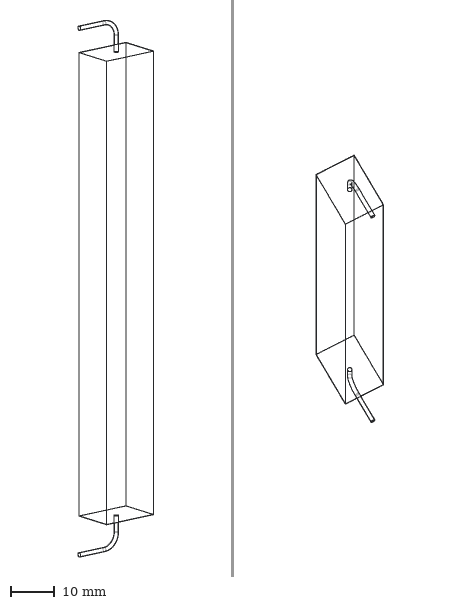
import cadquery as cq

total_height = 126.0
total_depth = 18.0

body_width = 10.0
body_depth = 14.0
body_height = 110.0

lead_diameter = 1.0
bend_radius = 3.5
lead_reach = total_depth - body_depth / 2
lead_rise = (total_height - body_height - lead_diameter) / 2


def make_top_lead():
    """Wire leaving the middle of the top face and bending toward -Y."""
    start_z = body_height / 2
    bend_start_z = start_z + lead_rise - bend_radius
    side_plane = cq.Plane(origin=(0, 0, 0), xDir=(0, -1, 0), normal=(-1, 0, 0))
    path = (
        cq.Workplane(side_plane)
        .moveTo(0, start_z)
        .lineTo(0, bend_start_z)
        .tangentArcPoint((bend_radius, bend_radius))
        .lineTo(lead_reach, start_z + lead_rise)
    )
    return cq.Workplane("XY", origin=(0, 0, start_z)).circle(lead_diameter / 2).sweep(path)


body = cq.Workplane("XY").box(body_width, body_depth, body_height)
top_lead = make_top_lead()
bottom_lead = top_lead.mirror("XY")

result = body.union(top_lead).union(bottom_lead)